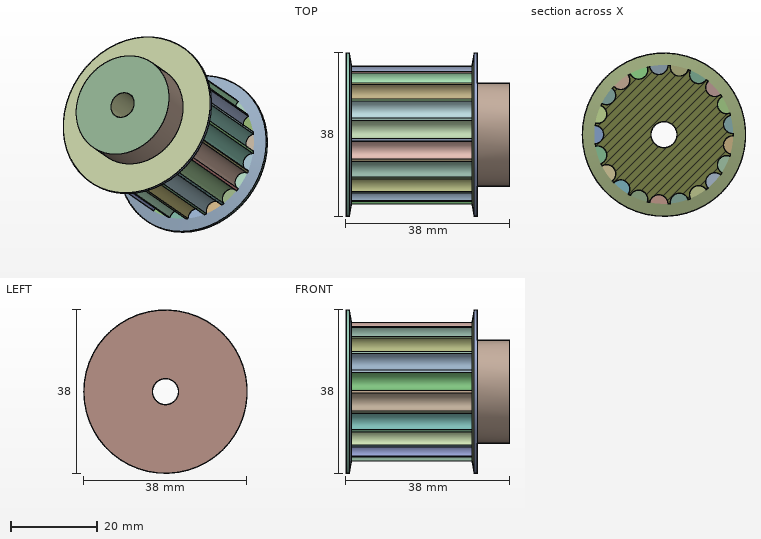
import cadquery as cq
import math

tooth_count = 21
tooth_step = 360 / tooth_count
belt_pitch = 5.0
pitch_line_offset = 0.57
tip_radius = tooth_count * belt_pitch / (2 * math.pi) - pitch_line_offset
tooth_land = 0.62
groove_depth = 2.1

flange_diameter = 38.0
flange_rim_width = 0.75
flange_width = 1.25
toothed_length = 28.0

hub_diameter = 24.0
total_length = 38.0
bore_diameter = 6.0

flange_radius = flange_diameter / 2
second_flange_start = flange_width + toothed_length
hub_start = second_flange_start + flange_width
rim_start = hub_start - flange_rim_width


def make_body():
    """Revolve the flanged drum and its hub about the X axis."""
    profile = (
        cq.Workplane("XY")
        .moveTo(0, 0)
        .lineTo(0, flange_radius)
        .lineTo(flange_rim_width, flange_radius)
        .lineTo(flange_width, tip_radius)
        .lineTo(second_flange_start, tip_radius)
        .lineTo(rim_start, flange_radius)
        .lineTo(hub_start, flange_radius)
        .lineTo(hub_start, hub_diameter / 2)
        .lineTo(total_length, hub_diameter / 2)
        .lineTo(total_length, 0)
        .close()
    )
    return profile.revolve(360, (0, 0, 0), (1, 0, 0))


def make_groove(angle):
    """Round-bottomed belt groove centred at an angle about X, measured from +Y."""
    tooth_angle = math.radians(tooth_step)
    half_angle = (tooth_angle - tooth_land / tip_radius) / 2
    edge_height = tip_radius * math.cos(half_angle)
    half_width = tip_radius * math.sin(half_angle)
    groove = (
        cq.Workplane("YZ", origin=(flange_width, 0, 0))
        .moveTo(edge_height, -half_width)
        .threePointArc((tip_radius - groove_depth, 0), (edge_height, half_width))
        .threePointArc((tip_radius, 0), (edge_height, -half_width))
        .close()
        .extrude(toothed_length)
    )
    return groove.rotate((0, 0, 0), (1, 0, 0), angle)


def cut_grooves(body):
    """Cut every groove, leaving one tooth centred on the -Y side."""
    first_groove_angle = 180 + tooth_step / 2
    for index in range(tooth_count):
        body = body.cut(make_groove(first_groove_angle + index * tooth_step))
    return body


def cut_bore(body):
    """Drill the shaft bore through the full length."""
    bore = cq.Workplane("YZ").circle(bore_diameter / 2).extrude(total_length)
    return body.cut(bore)


result = cut_bore(cut_grooves(make_body()))